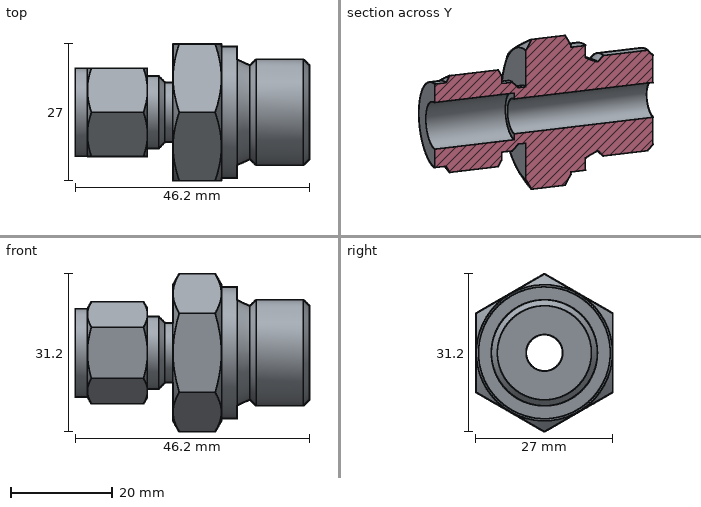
import cadquery as cq
import math

total_length = 46.2

nut_start = 2.4
nut_end = 14.25
collar_end = 16.45
neck_start = 17.7
body_hex_start = 19.25
body_hex_end = 28.85
flange_end = 31.9
undercut_bottom = 34.45

nut_flats = 17.46
nut_face_diameter = 17.44
body_flats = 27.0
body_face_diameter = 26.85
hex_chamfer_angle = 30.0
hex_sides = 6

collar_diameter = 14.35
neck_diameter = 11.8
flange_diameter = 26.0
thread_diameter = 20.96
undercut_start_diameter = 20.9
thread_chamfer = 1.2
undercut_diameter = thread_diameter - 2 * thread_chamfer

socket_diameter = 9.6
socket_depth = 16.8
passage_diameter = 7.15


def revolve_about_x(outline):
    """Solid of revolution about X from (x, diameter) stations."""
    first_x = outline[0][0]
    last_x = outline[-1][0]
    profile = [(x, diameter / 2) for x, diameter in outline]
    return (
        cq.Workplane("XY")
        .polyline([(first_x, 0)] + profile + [(last_x, 0)])
        .close()
        .revolve(360, (0, 0, 0), (1, 0, 0))
    )


def chamfered_hex(start, end, flats, face_diameter):
    """Hexagon along X with corners on +Z and -Z, coned at both ends."""
    corner_diameter = flats / math.cos(math.pi / hex_sides)
    corner_height = (corner_diameter - face_diameter) / 2
    chamfer_length = corner_height * math.tan(math.radians(hex_chamfer_angle))
    prism = (
        cq.Workplane("YZ", origin=(start, 0, 0))
        .transformed(rotate=(0, 0, 90))
        .polygon(hex_sides, corner_diameter)
        .extrude(end - start)
    )
    envelope = revolve_about_x([
        (start, face_diameter),
        (start + chamfer_length, corner_diameter),
        (end - chamfer_length, corner_diameter),
        (end, face_diameter),
    ])
    return prism.intersect(envelope)


def turned_body():
    """Round portions of the fitting, from the tube entry to the thread end."""
    return revolve_about_x([
        (0, nut_face_diameter),
        (nut_end, nut_face_diameter),
        (nut_end, collar_diameter),
        (collar_end, collar_diameter),
        (neck_start, neck_diameter),
        (body_hex_start, neck_diameter),
        (body_hex_start, flange_diameter),
        (flange_end, flange_diameter),
        (flange_end, undercut_start_diameter),
        (undercut_bottom, undercut_diameter),
        (undercut_bottom + thread_chamfer, thread_diameter),
        (total_length - thread_chamfer, thread_diameter),
        (total_length, undercut_diameter),
    ])


def bore():
    """Stepped hole along the whole axis."""
    return revolve_about_x([
        (0, socket_diameter),
        (socket_depth, socket_diameter),
        (socket_depth, passage_diameter),
        (total_length, passage_diameter),
    ])


nut = chamfered_hex(nut_start, nut_end, nut_flats, nut_face_diameter)
body_hex = chamfered_hex(body_hex_start, body_hex_end, body_flats, body_face_diameter)

fitting = turned_body().union(nut).union(body_hex).cut(bore())

result = fitting.translate((-total_length / 2, 0, 0))